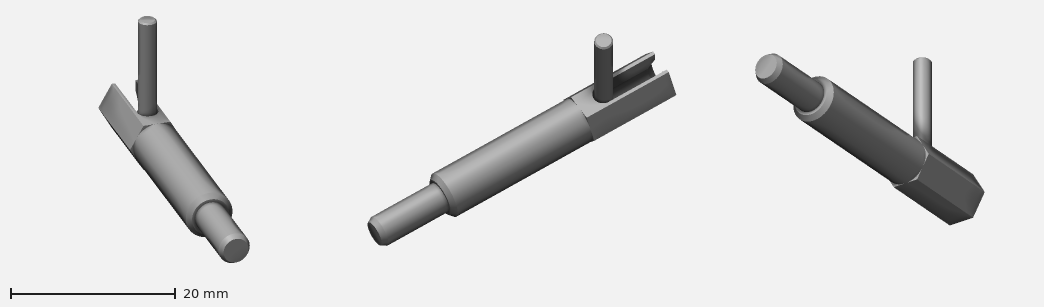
import cadquery as cq
import math


hex_across_flats = 6.0
hex_length = 11.9
barrel_diameter = 6.0
barrel_end_x = 32.0
barrel_chamfer = 0.6

rear_bore_diameter = 2.8
countersink_diameter = 4.3
countersink_depth = 1.0
slot_width = 2.6
slot_end_x = 9.7

nose_diameter = 4.0
nose_start_x = hex_length
nose_end_x = 41.5
nose_chamfer_length = 0.7
nose_chamfer_height = 0.4
handle_diameter = 2.3
handle_x = 8.3
handle_top_z = 15.5
bend_radius = 1.85
handle_chamfer = 0.2


def cylinder_x(diameter, start_x, end_x):
    """Round bar along the X axis."""
    return cq.Workplane("YZ", origin=(start_x, 0, 0)).circle(diameter / 2).extrude(end_x - start_x)


def make_housing():
    hex_across_corners = hex_across_flats / math.cos(math.radians(30))
    head = cq.Workplane("YZ").polygon(6, hex_across_corners).extrude(hex_length)
    barrel = cylinder_x(barrel_diameter, hex_length, barrel_end_x)
    barrel = barrel.faces(">X").chamfer(barrel_chamfer)
    body = head.union(barrel)

    body = body.cut(cylinder_x(rear_bore_diameter, 0, nose_start_x))
    body = body.cut(cylinder_x(nose_diameter, nose_start_x, barrel_end_x))

    mouth = cq.Solid.makeCone(
        countersink_diameter / 2,
        rear_bore_diameter / 2,
        countersink_depth,
        pnt=cq.Vector(0, 0, 0),
        dir=cq.Vector(1, 0, 0),
    )
    body = body.cut(cq.Workplane(mouth))

    slot_arc_x = slot_end_x - slot_width / 2
    slot_depth = hex_across_flats / 2
    straight = cq.Workplane("XY").rect(2 * slot_arc_x, slot_width).extrude(slot_depth)
    round_end = cq.Workplane("XY").center(slot_arc_x, 0).circle(slot_width / 2).extrude(slot_depth)
    return body.cut(straight).cut(round_end)


def make_plunger():
    nose = cylinder_x(nose_diameter, nose_start_x, nose_end_x)
    nose = nose.faces(">X").edges().chamfer(nose_chamfer_length, nose_chamfer_height)

    bend_end_x = handle_x + bend_radius
    upright = (
        cq.Workplane("XY", origin=(handle_x, 0, bend_radius))
        .circle(handle_diameter / 2)
        .extrude(handle_top_z - bend_radius)
        .faces(">Z")
        .edges()
        .chamfer(handle_chamfer)
    )
    bend = (
        cq.Workplane("XY", origin=(handle_x, 0, bend_radius))
        .circle(handle_diameter / 2)
        .revolve(90, (bend_radius, 1), (bend_radius, 0))
    )
    neck = cylinder_x(handle_diameter, bend_end_x, nose_start_x)
    return nose.union(neck).union(bend).union(upright)


housing = make_housing()
plunger = make_plunger()
result = cq.Compound.makeCompound([housing.solids().val(), plunger.solids().val()])